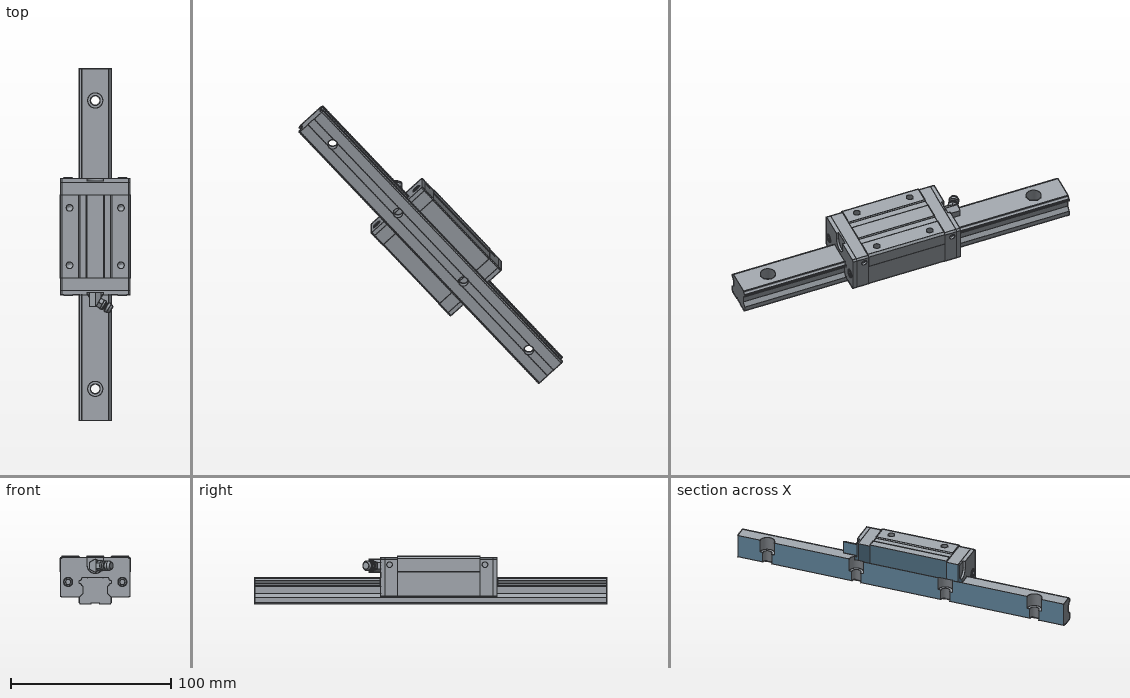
import cadquery as cq
import math

RAIL_LENGTH = 220.0
RAIL_HEIGHT = 16.5
RAIL_HALF_WIDTH = 10.1
RAIL_TOP_HALF_WIDTH = 8.1
RAIL_WAIST_HALF_WIDTH = 7.7
RAIL_LIP_TOP = 14.5
RAIL_LIP_BOTTOM = 13.2
RAIL_WAIST_TOP = 11.0
RAIL_WAIST_BOTTOM = 6.5
RAIL_FOOT_TOP = 4.2
RAIL_FOOT_CHAMFER = 0.9
RAIL_GROOVE_HALF_WIDTH = 2.6
RAIL_GROOVE_DEPTH = 0.7
TRACK_RADIUS = 1.0
TRACK_OFFSET = 0.5
RAIL_HOLE_COUNT = 4
RAIL_HOLE_PITCH = 60.0
RAIL_HOLE_DIAMETER = 6.0
RAIL_BORE_DIAMETER = 9.5
RAIL_BORE_DEPTH = 8.5

CARRIAGE_Y = 5.0
CARRIAGE_BOTTOM = 4.5
BOTTOM_CHAMFER = 0.7
TOTAL_HEIGHT = 30.0
BLOCK_LENGTH = 51.7
BLOCK_HALF_WIDTH = 22.0
BLOCK_LOWER_HALF_WIDTH = 21.5
BLOCK_STEP_Z = 20.0
BLOCK_TOP_CHAMFER = 1.3
CAP_THICKNESS = 8.0
CAP_HALF_WIDTH = 21.8
CAP_TOP = 29.0
CAP_TOP_CHAMFER = 1.0
SEAL_THICKNESS = 2.6

TOP_GROOVE_X = 7.7
TOP_GROOVE_WIDTH = 5.3
TOP_GROOVE_DEPTH = 0.7

MOUNT_PITCH_X = 32.1
MOUNT_PITCH_Y = 35.9
MOUNT_DIAMETER = 4.2
MOUNT_DEPTH = 6.5
DRILL_POINT_ANGLE = 118.0

PORT_DIAMETER = 3.5
PORT_DEPTH = 1.8
PORT_Z = 24.6
FRONT_PORT_Y = -25.7
BACK_PORT_Y = 33.9

RECESS_Z = 24.2
RECESS_RADIUS = 5.0
RECESS_DEPTH = 1.5

SCREW_X = 17.0
SCREW_Z = 13.9
SCREW_HEAD_RADIUS = 2.9
SCREW_HEAD_HEIGHT = 0.5
SCREW_HEAD_CHAMFER = 0.33
SOCKET_WIDTH = 3.0
SOCKET_DEPTH = 1.5

NIPPLE_Z = 24.0
ELBOW_FLATS = 7.3
ELBOW_END_Y = -38.7
ELBOW_CUT_X = 0.5
BRANCH_ANGLE = 30.0
COLLAR_FLATS = 5.7
COLLAR_LENGTH = 2.6
FLANGE_RADIUS = 3.0
FLANGE_END = 4.0
WAIST_RADIUS = 2.2
WAIST_START = 4.6
WAIST_END = 5.3
HEAD_RADIUS = 3.0
HEAD_START = 5.7
HEAD_END = 7.5
TIP_RADIUS = 2.2
TIP_END = 9.2

SEAL_FACE_OFFSET = BLOCK_LENGTH / 2 + CAP_THICKNESS + SEAL_THICKNESS
RECESS_FLOOR_OFFSET = SEAL_FACE_OFFSET - RECESS_DEPTH


def extrude_symmetric(right_half, y_start, y_end):
    """Mirror a half outline (x, z) about the Z axis and extrude it from y_start to y_end."""
    left_half = [(-x, z) for x, z in reversed(right_half)]
    outline = cq.Workplane("XZ", origin=(0, y_end, 0)).polyline(right_half + left_half).close()
    return outline.extrude(y_end - y_start)


def rail_blank():
    """Rail without its screw holes, with round ball tracks along the slopes above and below each lip."""
    half_outline = [
        (RAIL_GROOVE_HALF_WIDTH, RAIL_GROOVE_DEPTH),
        (RAIL_GROOVE_HALF_WIDTH, 0),
        (RAIL_HALF_WIDTH - RAIL_FOOT_CHAMFER, 0),
        (RAIL_HALF_WIDTH, RAIL_FOOT_CHAMFER),
        (RAIL_HALF_WIDTH, RAIL_FOOT_TOP),
        (RAIL_WAIST_HALF_WIDTH, RAIL_WAIST_BOTTOM),
        (RAIL_WAIST_HALF_WIDTH, RAIL_WAIST_TOP),
        (RAIL_HALF_WIDTH, RAIL_LIP_BOTTOM),
        (RAIL_HALF_WIDTH, RAIL_LIP_TOP),
        (RAIL_TOP_HALF_WIDTH, RAIL_HEIGHT),
    ]
    blank = extrude_symmetric(half_outline, -RAIL_LENGTH / 2, RAIL_LENGTH / 2)
    track_x = (RAIL_TOP_HALF_WIDTH + RAIL_HALF_WIDTH) / 2 + TRACK_OFFSET
    upper_track_z = (RAIL_HEIGHT + RAIL_LIP_TOP) / 2 + TRACK_OFFSET
    lower_track_z = (RAIL_WAIST_TOP + RAIL_LIP_BOTTOM) / 2 - TRACK_OFFSET
    for z in (upper_track_z, lower_track_z):
        for side in (-1, 1):
            start = cq.Vector(side * track_x, -RAIL_LENGTH / 2, z)
            track = cq.Solid.makeCylinder(TRACK_RADIUS, RAIL_LENGTH, start, cq.Vector(0, 1, 0))
            blank = blank.cut(cq.Workplane(track))
    return blank


def make_rail():
    return (
        rail_blank()
        .faces(">Z")
        .workplane(origin=(0, 0, RAIL_HEIGHT))
        .rarray(2.2, RAIL_HOLE_PITCH, 1, RAIL_HOLE_COUNT)
        .cboreHole(RAIL_HOLE_DIAMETER, RAIL_BORE_DIAMETER, RAIL_BORE_DEPTH)
    )


def make_block():
    half_outline = [
        (BLOCK_LOWER_HALF_WIDTH - BOTTOM_CHAMFER, CARRIAGE_BOTTOM),
        (BLOCK_LOWER_HALF_WIDTH, CARRIAGE_BOTTOM + BOTTOM_CHAMFER),
        (BLOCK_LOWER_HALF_WIDTH, BLOCK_STEP_Z),
        (BLOCK_HALF_WIDTH, BLOCK_STEP_Z + BLOCK_HALF_WIDTH - BLOCK_LOWER_HALF_WIDTH),
        (BLOCK_HALF_WIDTH, TOTAL_HEIGHT - BLOCK_TOP_CHAMFER),
        (BLOCK_HALF_WIDTH - BLOCK_TOP_CHAMFER, TOTAL_HEIGHT),
    ]
    y_start = CARRIAGE_Y - BLOCK_LENGTH / 2
    y_end = CARRIAGE_Y + BLOCK_LENGTH / 2
    block = extrude_symmetric(half_outline, y_start, y_end).cut(rail_blank())
    for side in (-1, 1):
        block = block.cut(top_groove(side * TOP_GROOVE_X, y_start, y_end))
    for x in (-MOUNT_PITCH_X / 2, MOUNT_PITCH_X / 2):
        for y in (CARRIAGE_Y - MOUNT_PITCH_Y / 2, CARRIAGE_Y + MOUNT_PITCH_Y / 2):
            block = block.cut(drilled_hole().translate((x, y, TOTAL_HEIGHT)))
    return block


def drilled_hole():
    """Blind hole with a conical drill point, its mouth at the origin and pointing down."""
    radius = MOUNT_DIAMETER / 2
    point_length = radius / math.tan(math.radians(DRILL_POINT_ANGLE / 2))
    half_section = [(0, 0), (radius, 0), (radius, -MOUNT_DEPTH), (0, -MOUNT_DEPTH - point_length)]
    return cq.Workplane("XZ").polyline(half_section).close().revolve(360, (0, 0), (0, 1))


def top_groove(x_center, y_start, y_end):
    """Groove with sides sloping at 45 degrees, ready to cut from the top of the block."""
    half_outline = [
        (TOP_GROOVE_WIDTH / 2 - TOP_GROOVE_DEPTH, TOTAL_HEIGHT - TOP_GROOVE_DEPTH),
        (TOP_GROOVE_WIDTH / 2, TOTAL_HEIGHT),
    ]
    return extrude_symmetric(half_outline, y_start, y_end).translate((x_center, 0, 0))


def end_plate(end, offset, thickness):
    """Plate around the rail; end is -1 or 1, offset runs from the carriage centre to its inner face."""
    half_outline = [
        (CAP_HALF_WIDTH - BOTTOM_CHAMFER, CARRIAGE_BOTTOM),
        (CAP_HALF_WIDTH, CARRIAGE_BOTTOM + BOTTOM_CHAMFER),
        (CAP_HALF_WIDTH, CAP_TOP - CAP_TOP_CHAMFER),
        (CAP_HALF_WIDTH - CAP_TOP_CHAMFER, CAP_TOP),
    ]
    faces = sorted((CARRIAGE_Y + end * offset, CARRIAGE_Y + end * (offset + thickness)))
    return extrude_symmetric(half_outline, *faces).cut(rail_blank())


def make_cap(end, port_y):
    cap = end_plate(end, BLOCK_LENGTH / 2, CAP_THICKNESS)
    for side in (-1, 1):
        mouth = cq.Vector(side * CAP_HALF_WIDTH, port_y, PORT_Z)
        port = cq.Solid.makeCylinder(PORT_DIAMETER / 2, PORT_DEPTH, mouth, cq.Vector(-side, 0, 0))
        cap = cap.cut(cq.Workplane(port))
    return cap


def make_seal(end):
    seal = end_plate(end, BLOCK_LENGTH / 2 + CAP_THICKNESS, SEAL_THICKNESS).cut(seal_recess(end))
    for side in (-1, 1):
        seal = add_screw_head(seal, end, side * SCREW_X)
    return seal


def outward_plane(end, x, offset, z):
    """Plane facing away from the carriage centre, at the given distance from it along Y."""
    return cq.Plane(origin=(x, CARRIAGE_Y + end * offset, z), xDir=(1, 0, 0), normal=(0, end, 0))


def seal_recess(end):
    """U-shaped recess, round at the bottom and open at the top of the seal."""
    floor = outward_plane(end, 0, RECESS_FLOOR_OFFSET, RECESS_Z)
    up = -end
    rim = up * (CAP_TOP - RECESS_Z)
    return (
        cq.Workplane(floor)
        .moveTo(-RECESS_RADIUS, rim)
        .lineTo(-RECESS_RADIUS, 0)
        .threePointArc((0, -up * RECESS_RADIUS), (RECESS_RADIUS, 0))
        .lineTo(RECESS_RADIUS, rim)
        .close()
        .extrude(RECESS_DEPTH)
    )


def add_screw_head(seal, end, x):
    """Add a low chamfered screw head with a hexagon socket to the outer face of a seal."""
    seat = outward_plane(end, x, SEAL_FACE_OFFSET, SCREW_Z)
    outer_face = ">Y" if end > 0 else "<Y"
    head = (
        cq.Workplane(seat)
        .circle(SCREW_HEAD_RADIUS)
        .extrude(SCREW_HEAD_HEIGHT)
        .faces(outer_face)
        .chamfer(SCREW_HEAD_CHAMFER)
    )
    socket = hexagon_prism(seat, SOCKET_WIDTH, SCREW_HEAD_HEIGHT, SOCKET_DEPTH - SCREW_HEAD_HEIGHT)
    return seal.union(head).cut(socket)


def hexagon_prism(plane, flats, height, depth=0.0):
    """Hexagonal prism, flats wide across its flats, from depth below a plane to height above it."""
    corner_diameter = flats / math.cos(math.pi / 6)
    return cq.Workplane(plane).workplane(offset=-depth).polygon(6, corner_diameter).extrude(height + depth)


def make_nipple():
    """Hexagonal elbow whose end is cut off at an angle, with a round nozzle on the slanted cut."""
    angle = math.radians(BRANCH_ANGLE)
    direction = cq.Vector(math.cos(angle), -math.sin(angle), 0)
    base_y = CARRIAGE_Y - RECESS_FLOOR_OFFSET
    base = cq.Plane(origin=(0, base_y, NIPPLE_Z), xDir=(0, 0, 1), normal=(0, -1, 0))
    elbow = hexagon_prism(base, ELBOW_FLATS, base_y - ELBOW_END_Y)

    cut_span = (ELBOW_FLATS / 2 - ELBOW_CUT_X) / math.sin(angle)
    cut_x = (ELBOW_FLATS / 2 + ELBOW_CUT_X) / 2
    cut_y = ELBOW_END_Y + cut_span * math.cos(angle) / 2
    cut_center = cq.Vector(cut_x, cut_y, NIPPLE_Z)
    slant = cq.Plane(origin=cut_center, xDir=(0, 0, 1), normal=direction)
    elbow = elbow.cut(cq.Workplane(slant).rect(2 * ELBOW_FLATS, 2 * cut_span).extrude(ELBOW_FLATS))

    collar = hexagon_prism(slant, COLLAR_FLATS, COLLAR_LENGTH)
    profile = [
        (0, 0),
        (WAIST_RADIUS, 0),
        (WAIST_RADIUS, COLLAR_LENGTH),
        (FLANGE_RADIUS, COLLAR_LENGTH),
        (FLANGE_RADIUS, FLANGE_END),
        (WAIST_RADIUS, WAIST_START),
        (WAIST_RADIUS, WAIST_END),
        (HEAD_RADIUS, HEAD_START),
        (HEAD_RADIUS, HEAD_END),
        (TIP_RADIUS, TIP_END),
        (0, TIP_END),
    ]
    up = cq.Vector(0, 0, 1)
    axis_plane = cq.Plane(origin=cut_center, xDir=up, normal=up.cross(direction))
    nozzle = cq.Workplane(axis_plane).polyline(profile).close().revolve(360, (0, 0), (0, 1))
    return elbow.union(collar).union(nozzle)


rail = make_rail()
block = make_block()
caps = [make_cap(-1, FRONT_PORT_Y), make_cap(1, BACK_PORT_Y)]
seals = [make_seal(end) for end in (-1, 1)]
nipple = make_nipple()

result = cq.Compound.makeCompound(
    [
        rail.val(),
        block.val(),
        *[cap.val() for cap in caps],
        *[seal.val() for seal in seals],
        nipple.val(),
    ]
)